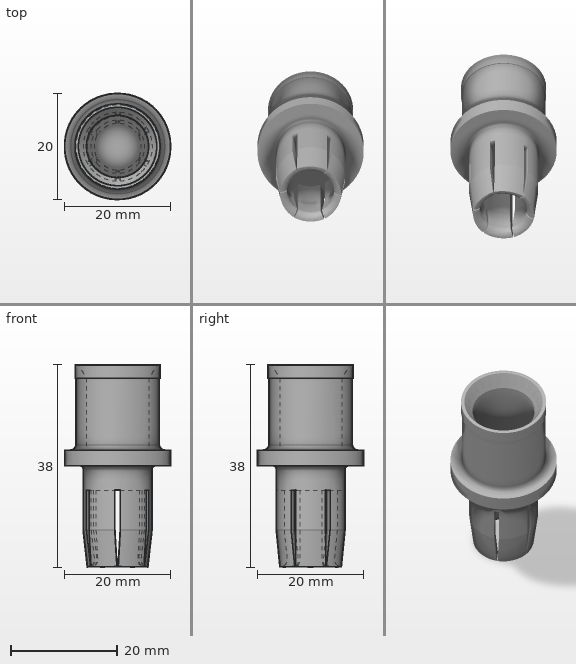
import cadquery as cq
import math

total_height = 38.0
bend_z = 7.03
slot_top_z = 14.45
flange_bottom_z = 19.0
flange_top_z = 22.0
rim_height = 2.5

flange_radius = 10.0
rim_radius = 8.0
barrel_radius = 7.85
barrel_bore_radius = 5.85
barrel_mouth_radius = 7.37
shank_radius = 6.5
shank_bore_radius = 5.0
tip_radius = 5.7

finger_count = 6
slot_width = 1.0
barrel_fillet = 1.0
shank_fillet = 0.5
tip_inner_fillet = 1.35

rim_bottom_z = total_height - rim_height
finger_pitch = 360 / finger_count
inward_bend = shank_radius - tip_radius
bend_angle = math.degrees(math.atan2(inward_bend, bend_z))


def turned_body():
    """Solid revolved body: shank, flange, barrel and the slightly wider rim."""
    profile = (
        cq.Workplane("XZ")
        .moveTo(0, bend_z)
        .lineTo(shank_radius, bend_z)
        .lineTo(shank_radius, flange_bottom_z - shank_fillet)
        .radiusArc((shank_radius + shank_fillet, flange_bottom_z), shank_fillet)
        .lineTo(flange_radius, flange_bottom_z)
        .lineTo(flange_radius, flange_top_z)
        .lineTo(barrel_radius + barrel_fillet, flange_top_z)
        .radiusArc((barrel_radius, flange_top_z + barrel_fillet), barrel_fillet)
        .lineTo(barrel_radius, rim_bottom_z)
        .lineTo(rim_radius, rim_bottom_z)
        .lineTo(rim_radius, total_height)
        .lineTo(0, total_height)
        .close()
    )
    return profile.revolve(360, (0, 0, 0), (0, 1, 0))


def barrel_bore():
    """Blind bore down to the flange, opening through a conical mouth as deep as the rim."""
    profile = (
        cq.Workplane("XZ")
        .moveTo(0, flange_top_z)
        .lineTo(barrel_bore_radius, flange_top_z)
        .lineTo(barrel_bore_radius, rim_bottom_z)
        .lineTo(barrel_mouth_radius, total_height)
        .lineTo(0, total_height)
        .close()
    )
    return profile.revolve(360, (0, 0, 0), (0, 1, 0))


def shank_bore():
    """Bore between the fingers, as deep as the slots."""
    mouth = cq.Workplane("XY").workplane(offset=bend_z)
    return mouth.circle(shank_bore_radius).extrude(slot_top_z - bend_z)


def slots():
    """Slots across the full shank diameter, each one parting two opposite pairs of fingers."""
    cutters = cq.Workplane("XY")
    for index in range(finger_count // 2):
        cutter = (
            cq.Workplane("XY")
            .workplane(offset=bend_z)
            .rect(slot_width, 2 * flange_radius)
            .extrude(slot_top_z - bend_z)
            .rotate((0, 0, 0), (0, 0, 1), index * finger_pitch)
        )
        cutters = cutters.add(cutter)
    return cutters.combine()


def finger_corner(radius, side):
    """Corner of a finger centred on +X, where a circle meets the wall of the neighbouring slot."""
    angle = math.radians(finger_pitch / 2) - math.asin(slot_width / 2 / radius)
    return radius * math.cos(angle), side * radius * math.sin(angle)


def bent_finger():
    """Finger tip centred on +X, leaning inward, its end square to the lean and rounded inside."""
    root = (
        cq.Workplane("XY")
        .workplane(offset=bend_z)
        .moveTo(*finger_corner(shank_radius, -1))
        .threePointArc((shank_radius, 0), finger_corner(shank_radius, 1))
        .lineTo(*finger_corner(shank_bore_radius, 1))
        .threePointArc((shank_bore_radius, 0), finger_corner(shank_bore_radius, -1))
        .close()
        .val()
    )
    tip = root.translate(cq.Vector(-inward_bend, 0, -bend_z))
    tip = tip.rotate(cq.Vector(tip_radius, 0, 0), cq.Vector(tip_radius, 0.38, 0), bend_angle)
    finger = cq.Workplane(cq.Solid.makeLoft([root, tip], True))
    inner_edge_point = (shank_bore_radius - inward_bend, 0, 0)
    return finger.edges(cq.selectors.NearestToPointSelector(inner_edge_point)).fillet(tip_inner_fillet)


result = turned_body().cut(barrel_bore())
result = result.cut(shank_bore())
result = result.cut(slots())

finger = bent_finger()
for index in range(finger_count):
    result = result.union(finger.rotate((0, 0, 0), (0, 0, 1), index * finger_pitch))